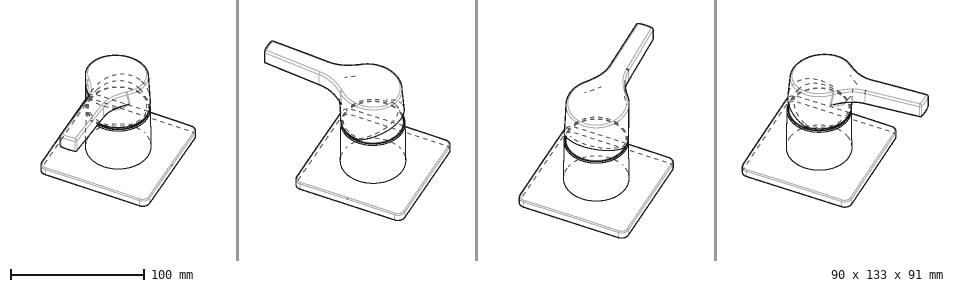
import cadquery as cq
import math

plate_side = 90.0
plate_height = 7.0
plate_crown = 0.4
plate_corner = 5.7
plate_edge_fillet = 0.9

body_base_radius = 24.7
body_top_radius = 24.2
body_top = 46.6
body_chamfer = 0.8
neck_radius = 22.9
neck_straight_top = 47.4
dome_shoulder = (18.4, 57.9)
dome_top = 69.2

head_tilt = 4.0
head_base_radius = 24.5
head_top_radius = 23.7
head_bottom = 49.2
head_back_bottom = 60.1
head_flat_end = -0.3
head_back = 23.3
head_reach = 53.2
head_rim_fillet = 0.4

tip_y = plate_side / 2 - 133
lever_root_y = -41.2
lever_root_half_width = 7.6
lever_tip_half_width = 6.9
lever_tip_bulge = 0.8
tip_corner_fillet = 1.3
underside_edge_fillet = 1.3
flare_start = (20.2, -13.8)
flare_middle = (11.7, -26.5)
flare_tangent = (-0.5, -0.87)
underside_root_z = 74.5
underside_tip_z = 78.5
underside_flat_y = -13.3
underside_fillet = 5.3
corner_margin = 1.9

top_back = (21.7, 81.0)
top_middle = (lever_root_y, 87.5)
top_tip = (tip_y, 91.0)
handle_edge_fillet = 1.6

overrun = 13.3


def slope_height(start, end, y):
    """Height at y on the straight line through two (y, z) points."""
    return start[1] + (end[1] - start[1]) * (y - start[0]) / (end[0] - start[0])


def make_plate():
    slab = cq.Workplane("XY").rect(plate_side, plate_side).extrude(plate_height)
    slab = slab.edges("|Z").fillet(plate_corner)
    half_side = plate_side / 2
    outer_drop = plate_crown * (plate_side / half_side) ** 2
    crown = (
        cq.Workplane("XZ")
        .lineTo(plate_side, 0)
        .lineTo(plate_side, plate_height - outer_drop)
        .threePointArc((half_side, plate_height - plate_crown), (0, plate_height))
        .close()
        .revolve(360, (0, 0, 0), (0, 1, 0))
    )
    return slab.intersect(crown).faces(">Z").edges().fillet(plate_edge_fillet)


def make_body_and_neck():
    profile = (
        cq.Workplane("XZ")
        .lineTo(body_base_radius, 0)
        .lineTo(body_top_radius, body_top - body_chamfer)
        .lineTo(body_top_radius - body_chamfer, body_top)
        .lineTo(neck_radius, body_top)
        .lineTo(neck_radius, neck_straight_top)
        .threePointArc(dome_shoulder, (0, dome_top))
        .close()
    )
    return profile.revolve(360, (0, 0, 0), (0, 1, 0))


def make_head():
    """Leaning cone, trimmed underneath flat at the front and sloping up at the back."""
    taper = math.degrees(math.atan((head_base_radius - head_top_radius) / (top_tip[1] - head_bottom)))
    cone = cq.Workplane("XY").circle(head_base_radius).extrude(head_reach, taper=taper)
    cone = cone.translate((0, 0, -overrun / 2)).rotate((0, 0, 0), (1, 0, 0), head_tilt)
    cone = cone.translate((0, 0, head_bottom))
    back_y = head_back + overrun
    back_z = slope_height((head_flat_end, head_bottom), (head_back, head_back_bottom), back_y)
    trim = (
        cq.Workplane("YZ")
        .polyline([
            (-plate_side, 0), (-plate_side, head_bottom), (head_flat_end, head_bottom),
            (back_y, back_z), (back_y, 0),
        ])
        .close()
        .extrude(plate_side / 2, both=True)
    )
    return cone.cut(trim).faces("<Z").edges("%ELLIPSE").fillet(head_rim_fillet)


def make_lever():
    """Bar outline seen from above, cut to the height of the lever underside."""
    tip_corner_y = tip_y + lever_tip_bulge
    flare = [flare_start, flare_middle, (lever_root_half_width, lever_root_y)]
    other_flare = [(-x, y) for x, y in reversed(flare)]
    mirrored_tangent = (flare_tangent[0], -flare_tangent[1])
    outline = (
        cq.Workplane("XY")
        .moveTo(*flare[0])
        .spline(flare[1:], tangents=[flare_tangent, (0, -1)], includeCurrent=True)
        .lineTo(lever_tip_half_width, tip_corner_y)
        .threePointArc((0, tip_y), (-lever_tip_half_width, tip_corner_y))
        .lineTo(*other_flare[0])
        .spline(other_flare[1:], tangents=[(0, 1), mirrored_tangent], includeCurrent=True)
        .close()
        .extrude(top_tip[1] + overrun)
    )
    tip = (tip_y, underside_tip_z)
    tip_corners = cq.selectors.BoxSelector(
        (-plate_side, tip_y - overrun, overrun), (plate_side, tip_y + overrun, top_tip[1])
    )
    root_z = slope_height((lever_root_y, underside_root_z), tip, underside_flat_y)
    root = (underside_flat_y, root_z)
    ceiling = top_tip[1] + overrun
    above = (
        cq.Workplane("YZ")
        .polyline([tip, root, (root[0], ceiling), (tip_y, ceiling)])
        .close()
        .extrude(plate_side / 2, both=True)
    )
    lever = outline.edges(tip_corners).fillet(tip_corner_fillet).intersect(above)
    return lever.faces("<Z").edges("not(>Y)").fillet(underside_edge_fillet)


def make_top_trim():
    """Everything above the gently bent top of the handle."""
    back_y = top_back[0] + overrun
    back_z = slope_height(top_middle, top_back, back_y)
    front_y = tip_y - overrun
    ceiling = top_tip[1] + 3 * overrun
    return (
        cq.Workplane("YZ")
        .moveTo(back_y, back_z)
        .threePointArc(top_middle, (front_y, slope_height(top_middle, top_tip, front_y)))
        .lineTo(front_y, ceiling)
        .lineTo(back_y, ceiling)
        .close()
        .extrude(plate_side, both=True)
    )


def make_handle():
    handle = make_head().union(make_lever())
    inner_corner = cq.selectors.BoxSelector(
        (-plate_side, -head_base_radius - corner_margin, underside_root_z - 2 * corner_margin),
        (plate_side, -head_base_radius + corner_margin, underside_root_z + corner_margin),
    )
    handle = handle.edges(inner_corner).fillet(underside_fillet)
    handle = handle.cut(make_top_trim())
    return handle.faces(">Z").edges().fillet(handle_edge_fillet)


result = make_plate().union(make_body_and_neck()).union(make_handle())